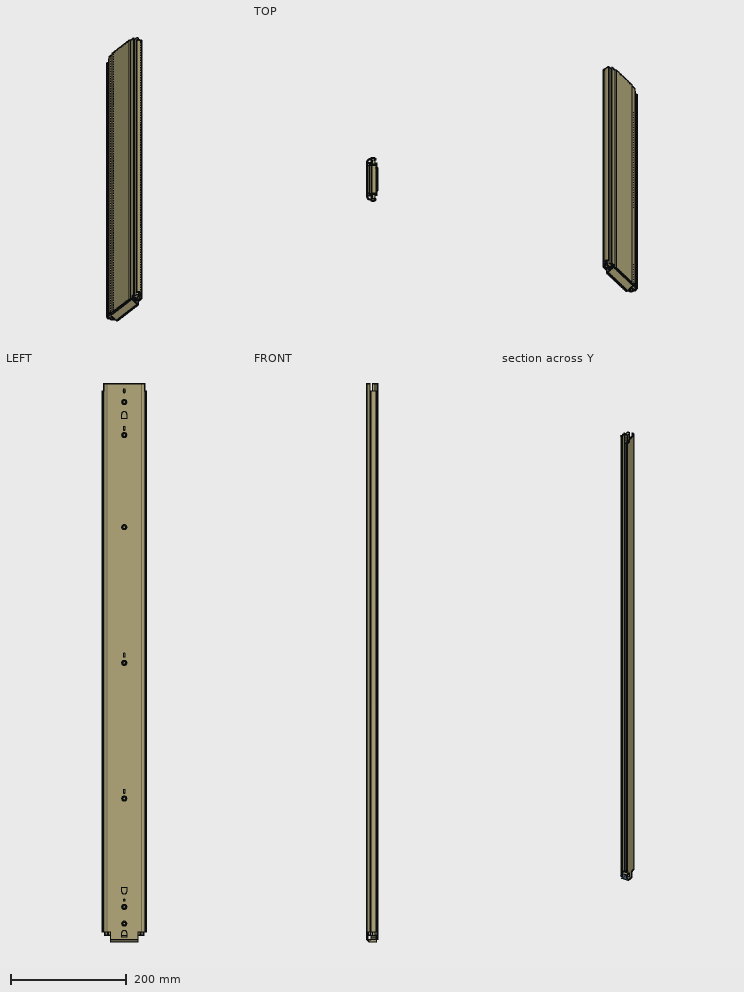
import cadquery as cq
import math


LENGTH = 965.0
WIDTH = 76.0
HEIGHT = 19.0
SHEET = 2.0

TONGUE_BOTTOM = 4.3
SHOULDER_BOTTOM = 12.0
FLANGE_BOTTOM = 17.0
RAIL_TOP = 953.0
TONGUE_HALF_WIDTH = 24.0

BASE_HALF_WIDTH = 36.0
BASE_RADIUS = 6.0

RAIL_JOINT = 7.2
INNER_RAIL_HALF_WIDTH = 29.0
INNER_RAIL_LIP = 3.0
OUTER_RAIL_RADIUS = 7.2
OUTER_RAIL_AXIS = 11.0
OUTER_RAIL_EDGE = 16.0
OUTER_RAIL_EDGE_INSIDE = 15.0

DRAWER_BUMP_HALF_WIDTH = 19.0
DRAWER_STEP = 1.4
DRAWER_HALF_WIDTH = 28.0
DRAWER_NECK = 14.0
DRAWER_BEAD_HALF_WIDTH = 34.0
DRAWER_BEAD_HEIGHT = 5.0

STOP_NECK_LEFT = 7.2
STOP_NECK_RIGHT = HEIGHT - DRAWER_STEP - SHEET
STOP_FOOT_RIGHT = HEIGHT - SHEET
STOP_NECK_BEVEL = 4.3

SLOT_WIDTH = 3.0
SLOT_LENGTH = 7.0
SLOT_HEIGHTS = [953.0, 888.0, 496.0, 261.0]
PILOT_DIAMETER = 3.4
PILOT_HEIGHT = 72.0
SCREW_DIAMETER = 5.0
COUNTERSINK_DIAMETER = 9.0
SCREW_HEIGHTS = [933.0, 876.0, 717.0, 483.0, 248.0, 61.0, 32.0]
ARCH_WIDTH = 9.0
ARCH_LENGTH = 12.0
UPRIGHT_ARCH_HEIGHTS = [911.0, 14.0]
INVERTED_ARCH_HEIGHTS = [89.0]


def extrude_symmetric(half_outline, bottom, top):
    """Extrude an outline that starts and ends on Y = 0 along Z and mirror it across that plane."""
    half = half_outline.close().extrude(top - bottom).translate((0, 0, bottom))
    return half.union(half.mirror("XZ"))


def y_centred_box(x_min, x_max, half_width, bottom, top):
    box = cq.Workplane("XY").box(x_max - x_min, 2 * half_width, top - bottom, centered=(False, True, False))
    return box.translate((x_min, 0, bottom))


def trim_to_tongue(member, flange_bottom):
    """Cut away the flanges below flange_bottom, so only the tongue goes on down."""
    below = y_centred_box(0, HEIGHT, WIDTH, 0, flange_bottom)
    tongue = y_centred_box(0, HEIGHT, TONGUE_HALF_WIDTH, 0, flange_bottom)
    return member.cut(below.cut(tongue))


def web_plane():
    """YZ plane at the outer face of the base web; local X is Y and local Y is Z."""
    return cq.Workplane("YZ")


def screw_cutter(height):
    """Screw hole countersunk through the full sheet, wide at the outer face."""
    return cq.Workplane(
        cq.Solid.makeCone(
            COUNTERSINK_DIAMETER / 2,
            SCREW_DIAMETER / 2,
            SHEET,
            pnt=cq.Vector(0, 0, height),
            dir=cq.Vector(1, 0, 0),
        )
    )


def arch_cutter(height, direction):
    """Opening with one round end, at the top (direction 1) or at the bottom (direction -1)."""
    radius = ARCH_WIDTH / 2
    flat_end = height - direction * ARCH_LENGTH / 2
    round_start = height + direction * (ARCH_LENGTH / 2 - radius)
    return (
        web_plane()
        .moveTo(-radius, flat_end)
        .lineTo(radius, flat_end)
        .lineTo(radius, round_start)
        .threePointArc((0, round_start + direction * radius), (-radius, round_start))
        .close()
        .extrude(SHEET)
    )


def make_base_channel():
    inner_radius = BASE_RADIUS - SHEET
    arc_y = BASE_HALF_WIDTH - BASE_RADIUS
    diagonal = math.sqrt(0.5)
    half = (
        cq.Workplane("XY")
        .lineTo(0, arc_y)
        .threePointArc(
            (BASE_RADIUS * (1 - diagonal), arc_y + BASE_RADIUS * diagonal),
            (BASE_RADIUS, BASE_HALF_WIDTH),
        )
        .lineTo(BASE_RADIUS, BASE_HALF_WIDTH - SHEET)
        .threePointArc(
            (BASE_RADIUS - inner_radius * diagonal, arc_y + inner_radius * diagonal),
            (SHEET, arc_y),
        )
        .lineTo(SHEET, 0)
    )
    base = trim_to_tongue(extrude_symmetric(half, TONGUE_BOTTOM, LENGTH), FLANGE_BOTTOM)

    slot_points = [(0, height) for height in SLOT_HEIGHTS]
    base = base.cut(web_plane().pushPoints(slot_points).slot2D(SLOT_LENGTH, SLOT_WIDTH, 90).extrude(SHEET))
    for height in SCREW_HEIGHTS:
        base = base.cut(screw_cutter(height))
    base = base.cut(web_plane().center(0, PILOT_HEIGHT).circle(PILOT_DIAMETER / 2).extrude(SHEET))
    for height in UPRIGHT_ARCH_HEIGHTS:
        base = base.cut(arch_cutter(height, 1))
    for height in INVERTED_ARCH_HEIGHTS:
        base = base.cut(arch_cutter(height, -1))
    return base


def make_inner_rail():
    """Channel that runs inside the base channel and opens toward it."""
    half = (
        cq.Workplane("XY")
        .moveTo(RAIL_JOINT, 0)
        .lineTo(RAIL_JOINT, INNER_RAIL_HALF_WIDTH)
        .lineTo(INNER_RAIL_LIP, INNER_RAIL_HALF_WIDTH)
        .lineTo(INNER_RAIL_LIP, INNER_RAIL_HALF_WIDTH - SHEET)
        .lineTo(RAIL_JOINT - SHEET, INNER_RAIL_HALF_WIDTH - SHEET)
        .lineTo(RAIL_JOINT - SHEET, 0)
    )
    return extrude_symmetric(half, SHOULDER_BOTTOM, RAIL_TOP)


def make_outer_rail():
    """Channel on the back of the inner rail, with rolled flanges around the drawer channel."""
    crown = WIDTH / 2
    axis_y = crown - OUTER_RAIL_RADIUS
    inner_radius = OUTER_RAIL_RADIUS - SHEET

    def arc_height(radius, x):
        return axis_y + math.sqrt(radius ** 2 - (x - OUTER_RAIL_AXIS) ** 2)

    web_inside = RAIL_JOINT + SHEET
    half = (
        cq.Workplane("XY")
        .moveTo(RAIL_JOINT, 0)
        .lineTo(RAIL_JOINT, arc_height(OUTER_RAIL_RADIUS, RAIL_JOINT))
        .threePointArc((OUTER_RAIL_AXIS, crown), (OUTER_RAIL_EDGE, arc_height(OUTER_RAIL_RADIUS, OUTER_RAIL_EDGE)))
        .lineTo(OUTER_RAIL_EDGE_INSIDE, arc_height(inner_radius, OUTER_RAIL_EDGE_INSIDE))
        .threePointArc((OUTER_RAIL_AXIS, crown - SHEET), (web_inside, arc_height(inner_radius, web_inside)))
        .lineTo(web_inside, 0)
    )
    return extrude_symmetric(half, FLANGE_BOTTOM, RAIL_TOP)


def make_drawer_channel():
    """Channel with a raised web and flanges that end in a round bead inside the outer rail."""
    shoulder = HEIGHT - DRAWER_STEP
    bead_start = DRAWER_NECK - DRAWER_BEAD_HEIGHT
    bead_radius = DRAWER_BEAD_HEIGHT / 2
    bead_axis_y = DRAWER_BEAD_HALF_WIDTH - bead_radius
    flange_inside = DRAWER_HALF_WIDTH - SHEET
    half = (
        cq.Workplane("XY")
        .moveTo(HEIGHT, 0)
        .lineTo(HEIGHT, DRAWER_BUMP_HALF_WIDTH)
        .lineTo(shoulder, DRAWER_BUMP_HALF_WIDTH + DRAWER_STEP)
        .lineTo(shoulder, DRAWER_HALF_WIDTH)
        .lineTo(DRAWER_NECK, DRAWER_HALF_WIDTH)
        .lineTo(DRAWER_NECK, bead_axis_y)
        .threePointArc((DRAWER_NECK - bead_radius, DRAWER_BEAD_HALF_WIDTH), (bead_start, bead_axis_y))
        .lineTo(bead_start, flange_inside)
        .lineTo(shoulder - SHEET, flange_inside)
        .lineTo(shoulder - SHEET, DRAWER_BUMP_HALF_WIDTH)
        .lineTo(HEIGHT - SHEET, DRAWER_BUMP_HALF_WIDTH - DRAWER_STEP)
        .lineTo(HEIGHT - SHEET, 0)
    )
    return trim_to_tongue(extrude_symmetric(half, TONGUE_BOTTOM, LENGTH), SHOULDER_BOTTOM)


def make_end_stop():
    """Stop block between the tongues, with a foot bevelled at 45 degrees under the base tongue."""
    foot = (
        cq.Workplane("XZ", origin=(0, TONGUE_HALF_WIDTH, 0))
        .moveTo(TONGUE_BOTTOM, 0)
        .lineTo(STOP_FOOT_RIGHT, 0)
        .lineTo(STOP_FOOT_RIGHT, TONGUE_BOTTOM)
        .lineTo(0, TONGUE_BOTTOM)
        .close()
        .extrude(2 * TONGUE_HALF_WIDTH)
    )
    narrow_half_width = TONGUE_HALF_WIDTH - STOP_NECK_BEVEL
    bevel_top = TONGUE_BOTTOM + STOP_NECK_BEVEL
    neck = (
        cq.Workplane("YZ", origin=(STOP_NECK_LEFT, 0, 0))
        .moveTo(-narrow_half_width, TONGUE_BOTTOM)
        .lineTo(narrow_half_width, TONGUE_BOTTOM)
        .lineTo(TONGUE_HALF_WIDTH, bevel_top)
        .lineTo(TONGUE_HALF_WIDTH, SHOULDER_BOTTOM)
        .lineTo(-TONGUE_HALF_WIDTH, SHOULDER_BOTTOM)
        .lineTo(-TONGUE_HALF_WIDTH, bevel_top)
        .close()
        .extrude(STOP_NECK_RIGHT - STOP_NECK_LEFT)
    )
    return foot.union(neck)


base_channel = make_base_channel()
inner_rail = make_inner_rail()
outer_rail = make_outer_rail()
drawer_channel = make_drawer_channel()
end_stop = make_end_stop()

result = cq.Compound.makeCompound(
    [base_channel.val(), inner_rail.val(), outer_rail.val(), drawer_channel.val(), end_stop.val()]
)